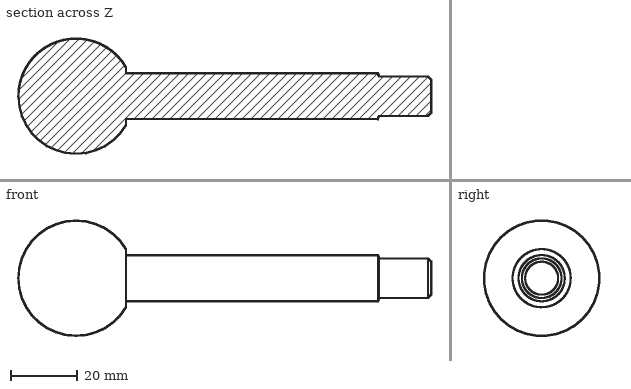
import cadquery as cq
import math

total_length = 125.0
ball_radius = 17.5
ball_flat_x = 32.6
shaft_radius = 7.0
shaft_end_x = 108.9
shoulder_length = 0.4
spigot_radius = 6.0
spigot_chamfer = 1.0

ball_flat_radius = math.sqrt(ball_radius**2 - (ball_flat_x - ball_radius) ** 2)

profile = (
    cq.Workplane("XY")
    .moveTo(0, 0)
    .threePointArc((ball_radius, ball_radius), (ball_flat_x, ball_flat_radius))
    .lineTo(ball_flat_x, shaft_radius)
    .lineTo(shaft_end_x, shaft_radius)
    .lineTo(shaft_end_x + shoulder_length, spigot_radius)
    .lineTo(total_length - spigot_chamfer, spigot_radius)
    .lineTo(total_length, spigot_radius - spigot_chamfer)
    .lineTo(total_length, 0)
    .close()
)

result = profile.revolve(360, (0, 0, 0), (1, 0, 0))